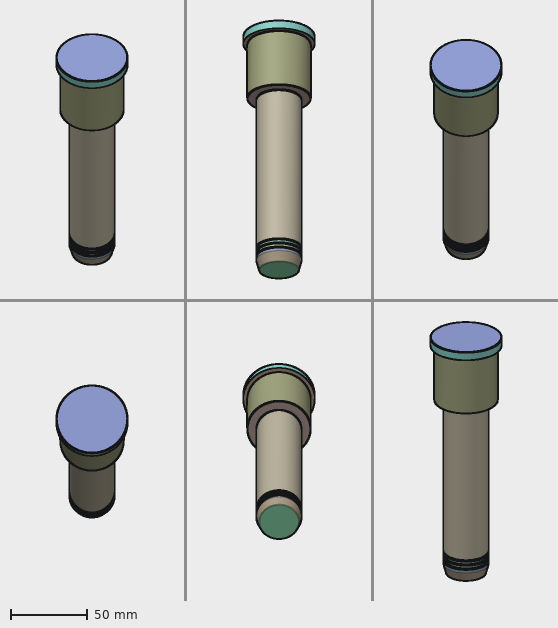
import cadquery as cq
import math

TOTAL_LENGTH = 171.0

FLANGE_DIAMETER = 47.0
FLANGE_HEIGHT = 6.0
FLANGE_CHAMFER = 0.5

BODY_DIAMETER = 42.0
BODY_END_DEPTH = 46.0
BODY_CHAMFER = 0.5

SHAFT_DIAMETER = 30.0
NECK_DIAMETER = 29.0
NECK_LENGTH = 1.0

GROOVE_WIDTH = 1.0
GROOVE_FLOOR_WIDTH = 0.5
GROOVE_DEPTH = 0.5
GROOVE_COUNT = 3
GROOVE_PITCH = 3.0

TIP_LENGTH = 7.0
TIP_HALF_ANGLE = 15.0
TIP_FILLET = 0.5

FLANGE_BOTTOM = TOTAL_LENGTH - FLANGE_HEIGHT
BODY_BOTTOM = TOTAL_LENGTH - BODY_END_DEPTH
SHAFT_TOP = BODY_BOTTOM - NECK_LENGTH
SHAFT_RADIUS = SHAFT_DIAMETER / 2
TIP_RADIUS = SHAFT_RADIUS - TIP_LENGTH * math.tan(math.radians(TIP_HALF_ANGLE))


def cylinder(diameter, bottom, top):
    """Solid cylinder on the Z axis between two levels."""
    return cq.Workplane("XY").workplane(offset=bottom).circle(diameter / 2).extrude(top - bottom)


def edge_groove(diameter, top):
    """Ring that cuts a square groove, plus a chamfer on the edge below it, into a cylinder."""
    radius = diameter / 2
    floor_radius = radius - GROOVE_DEPTH
    floor_bottom = top - GROOVE_FLOOR_WIDTH
    bottom = top - GROOVE_WIDTH
    outline = [(floor_radius, top), (floor_radius, floor_bottom), (radius, bottom), (radius, top)]
    return cq.Workplane("XZ").polyline(outline).close().revolve(360, (0, 0), (0, 1))


def make_flange():
    flange = cylinder(FLANGE_DIAMETER, FLANGE_BOTTOM, TOTAL_LENGTH)
    return flange.faces(">Z").edges().chamfer(FLANGE_CHAMFER)


def make_body():
    body = cylinder(BODY_DIAMETER, BODY_BOTTOM, FLANGE_BOTTOM)
    body = body.faces("<Z").edges().chamfer(BODY_CHAMFER)
    return body.cut(edge_groove(BODY_DIAMETER, FLANGE_BOTTOM))


def make_tip():
    outline = [(0, 0), (TIP_RADIUS, 0), (SHAFT_RADIUS, TIP_LENGTH), (0, TIP_LENGTH)]
    tip = cq.Workplane("XZ").polyline(outline).close().revolve(360, (0, 0), (0, 1))
    return tip.faces("<Z").edges().fillet(TIP_FILLET)


def make_shaft():
    shaft = cylinder(SHAFT_DIAMETER, TIP_LENGTH, SHAFT_TOP)
    for index in range(GROOVE_COUNT):
        groove_top = TIP_LENGTH + (index + 1) * GROOVE_PITCH
        shaft = shaft.cut(edge_groove(SHAFT_DIAMETER, groove_top))
    return shaft


neck = cylinder(NECK_DIAMETER, SHAFT_TOP, BODY_BOTTOM)
result = make_flange().union(make_body()).union(neck).union(make_shaft()).union(make_tip())